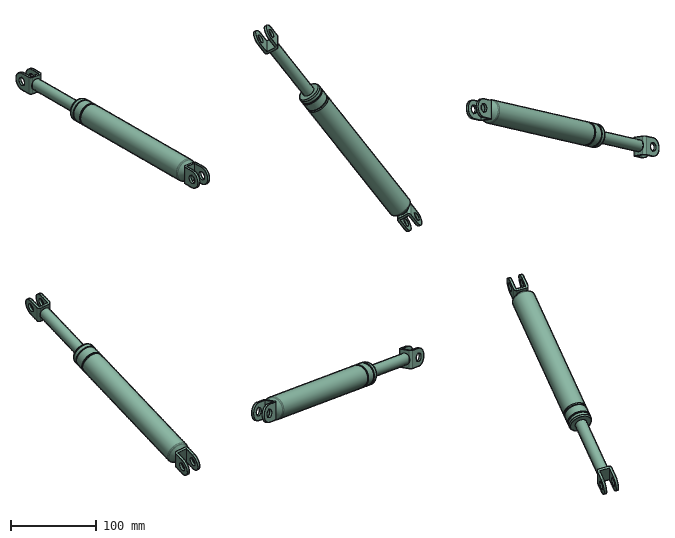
import cadquery as cq

OVERALL_LENGTH = 338.0
TUBE_START = 106.0
TUBE_SHOULDER = 305.2
CLEVIS_LENGTH = 27.0

ROD_RADIUS = 7.0
TUBE_RADIUS = 14.03
TUBE_TIP_RADIUS = 7.0
SHOULDER_FILLET = 2.0
BEVEL_DEPTH = 1.0

END_CAP_START, END_CAP_BEVEL = TUBE_START, 2.0
COLLAR_START, COLLAR_BEVEL = 112.5, 1.0
BARREL_START, BARREL_BEVEL = 124.7, 2.0
SECTIONS = [
    (END_CAP_START, END_CAP_BEVEL, COLLAR_START),
    (COLLAR_START, COLLAR_BEVEL, BARREL_START),
    (BARREL_START, BARREL_BEVEL, TUBE_SHOULDER),
]

CLEVIS_WIDTH = 18.0
CLEVIS_HEIGHT = 22.0
PLATE_THICKNESS = 3.0
BEND_RADIUS = PLATE_THICKNESS
PIN_HOLE_DIAMETER = 10.0

ROD_START = CLEVIS_LENGTH
TUBE_END = OVERALL_LENGTH - CLEVIS_LENGTH


def make_clevis():
    """Clevis with its ears starting at x = 0 and its base ending at CLEVIS_LENGTH."""
    ear_radius = CLEVIS_HEIGHT / 2
    blank = (
        cq.Workplane("XY")
        .box(CLEVIS_LENGTH, CLEVIS_WIDTH, CLEVIS_HEIGHT, centered=(False, True, True))
        .edges("|Z and >X")
        .fillet(BEND_RADIUS)
    )
    slot = cq.Workplane("XY").box(
        CLEVIS_LENGTH - PLATE_THICKNESS,
        CLEVIS_WIDTH - 2 * PLATE_THICKNESS,
        CLEVIS_HEIGHT,
        centered=(False, True, True),
    )
    ear_outline = (
        cq.Workplane("XZ")
        .moveTo(CLEVIS_LENGTH, -ear_radius)
        .lineTo(ear_radius, -ear_radius)
        .threePointArc((0, 0), (ear_radius, ear_radius))
        .lineTo(CLEVIS_LENGTH, ear_radius)
        .close()
        .extrude(CLEVIS_WIDTH / 2, both=True)
    )
    pin_hole = (
        cq.Workplane("XZ")
        .center(ear_radius, 0)
        .circle(PIN_HOLE_DIAMETER / 2)
        .extrude(CLEVIS_WIDTH, both=True)
    )
    return blank.cut(slot).intersect(ear_outline).cut(pin_hole)


def make_rod():
    """Piston rod with its clevis, butting against the front face of the tube."""
    shaft = cq.Workplane("YZ", origin=(ROD_START, 0, 0)).circle(ROD_RADIUS).extrude(TUBE_START - ROD_START)
    return make_clevis().union(shaft)


def make_tube():
    """Turned tube with bevelled sections and a tapered tail, joined to its clevis."""
    profile = cq.Workplane("XY").moveTo(TUBE_START, 0)
    for start, bevel_length, end in SECTIONS:
        profile = (
            profile.lineTo(start, TUBE_RADIUS - BEVEL_DEPTH)
            .lineTo(start + bevel_length, TUBE_RADIUS)
            .lineTo(end, TUBE_RADIUS)
        )
    profile = profile.lineTo(TUBE_END, TUBE_TIP_RADIUS).lineTo(TUBE_END, 0)
    body = profile.close().revolve(360, (0, 0, 0), (1, 0, 0))
    shoulder = cq.selectors.BoxSelector(
        (TUBE_SHOULDER - SHOULDER_FILLET, -TUBE_RADIUS * 2, -TUBE_RADIUS * 2),
        (TUBE_SHOULDER + SHOULDER_FILLET, TUBE_RADIUS * 2, TUBE_RADIUS * 2),
        boundingbox=True,
    )
    body = body.edges(shoulder).fillet(SHOULDER_FILLET)
    tail_clevis = make_clevis().mirror("YZ").translate((OVERALL_LENGTH, 0, 0))
    return body.union(tail_clevis)


rod = make_rod()
tube = make_tube()
result = cq.Compound.makeCompound([rod.val(), tube.val()])